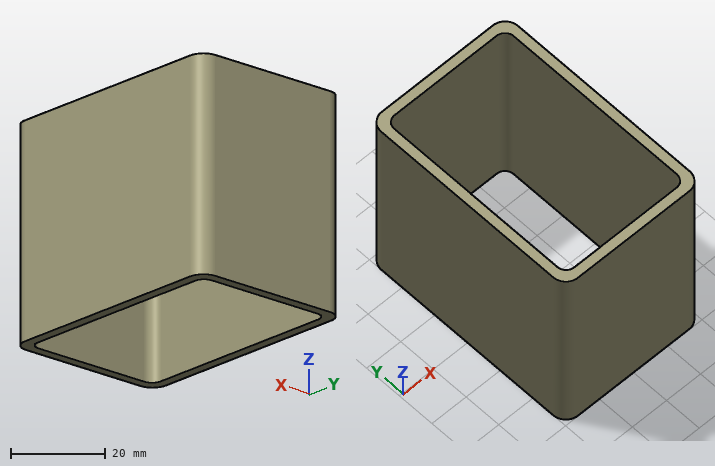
import cadquery as cq

width = 40.0
length = 60.0
height = 50.0
wall = 2.5
outer_radius = 3.7
inner_radius = 2.5


def rounded_block(size_x, size_y, corner_radius):
    """Full-height block with rounded vertical edges."""
    block = cq.Workplane("XY").rect(size_x, size_y).extrude(height)
    return block.edges("|Z").fillet(corner_radius)


outer_body = rounded_block(width, length, outer_radius)
bore = rounded_block(width - 2 * wall, length - 2 * wall, inner_radius)

result = outer_body.cut(bore)